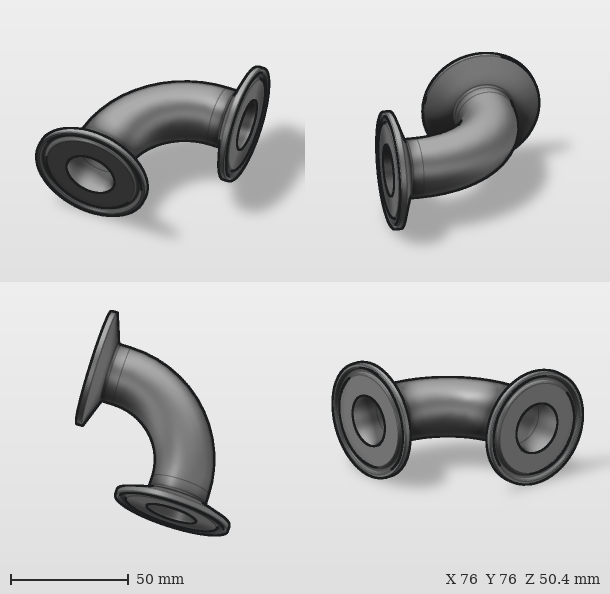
import cadquery as cq
import math


overall_size = 76.0
flange_diameter = 50.4
tube_diameter = 25.4
bore_diameter = 22.1
bend_radius = 38.1

rim_thickness = 2.8
cone_height = 7.45
rim_back_fillet = 0.2
neck_fillet = 1.2

groove_mid_diameter = 43.6
groove_bottom_radius = 1.3
groove_wall_angle = math.radians(20)
groove_depth = 1.6
face_edge_fillet = 0.45

flange_radius = flange_diameter / 2
tube_radius = tube_diameter / 2
groove_mid_radius = groove_mid_diameter / 2
bore_radius = bore_diameter / 2
face_distance = overall_size - flange_radius
ferrule_length = face_distance - bend_radius


def make_groove():
    """Ring of material removed for the gasket: round bottom with two leaning walls."""
    arc_centre_y = groove_depth - groove_bottom_radius
    wall_end_x = groove_bottom_radius * math.cos(groove_wall_angle)
    wall_end_y = arc_centre_y + groove_bottom_radius * math.sin(groove_wall_angle)
    mouth_x = wall_end_x + wall_end_y * math.tan(groove_wall_angle)
    return (
        cq.Workplane("XY", origin=(groove_mid_radius, 0, 0))
        .moveTo(-mouth_x, 0)
        .lineTo(-wall_end_x, wall_end_y)
        .threePointArc((0, groove_depth), (wall_end_x, wall_end_y))
        .lineTo(mouth_x, 0)
        .close()
        .revolve(360, (-groove_mid_radius, 0, 0), (-groove_mid_radius, 1, 0))
    )


def make_ferrule():
    """Ferrule along Y with its sealing face at y = 0 and its neck towards +Y."""
    body = (
        cq.Workplane("XY")
        .moveTo(0, 0)
        .lineTo(flange_radius, 0)
        .lineTo(flange_radius, rim_thickness)
        .lineTo(tube_radius, cone_height)
        .lineTo(tube_radius, ferrule_length)
        .lineTo(0, ferrule_length)
        .close()
        .revolve(360, (0, 0, 0), (0, 1, 0))
    )
    neck_edge = body.faces("%CONE").edges("%CIRCLE").edges(">Y").val()
    body = body.newObject([neck_edge]).fillet(neck_fillet)
    rim_back_edge = body.faces("%CONE").edges("%CIRCLE").edges("<Y").val()
    body = body.newObject([rim_back_edge]).fillet(rim_back_fillet)

    body = body.cut(make_groove())
    body = body.faces("<Y").edges("%CIRCLE").fillet(face_edge_fillet)

    bore = cq.Workplane("XZ").circle(bore_radius).extrude(-ferrule_length)
    return body.cut(bore)


def make_bend():
    """Quarter-circle tube joining the necks of the two ferrules."""
    return (
        cq.Workplane("XZ", origin=(0, -bend_radius, 0))
        .circle(tube_radius)
        .circle(bore_radius)
        .revolve(90, (bend_radius, 0, 0), (bend_radius, -1, 0))
    )


front_ferrule = make_ferrule().translate((0, -face_distance, 0))
side_ferrule = front_ferrule.rotate((0, 0, 0), (0, 0, 1), 90)

result = make_bend().union(front_ferrule).union(side_ferrule)